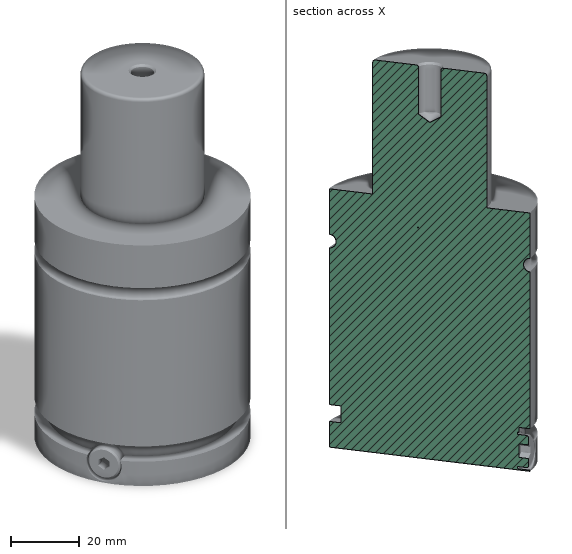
import cadquery as cq
import math

body_diameter = 63.0
body_top = 79.0
total_height = 120.0

rod_diameter = 36.0
rod_edge_fillet = 1.0

base_groove_diameter = 56.0
base_groove_bottom = 8.0
base_groove_top = 13.0

round_groove_radius = 2.0
round_groove_height = 63.0

thread_hole_diameter = 6.8
thread_hole_depth = 15.0
thread_countersink_diameter = 8.0
drill_tip_angle = 118.0

port_height = 6.0
port_diameter = 11.0
port_floor_radius = 27.5
screw_diameter = 10.0
screw_face_radius = 31.0
screw_chamfer = 0.5
hex_sides = 6
hex_across_flats = 3.5
hex_depth = 3.0


def make_body():
    """Revolve the body and rod, including both outer grooves."""
    body_radius = body_diameter / 2
    rod_radius = rod_diameter / 2
    base_groove_radius = base_groove_diameter / 2
    return (
        cq.Workplane("XZ")
        .moveTo(0, 0)
        .lineTo(body_radius, 0)
        .lineTo(body_radius, base_groove_bottom)
        .lineTo(base_groove_radius, base_groove_bottom)
        .lineTo(base_groove_radius, base_groove_top)
        .lineTo(body_radius, base_groove_top)
        .lineTo(body_radius, round_groove_height - round_groove_radius)
        .threePointArc(
            (body_radius - round_groove_radius, round_groove_height),
            (body_radius, round_groove_height + round_groove_radius),
        )
        .lineTo(body_radius, body_top)
        .lineTo(rod_radius, body_top)
        .lineTo(rod_radius, total_height)
        .lineTo(0, total_height)
        .close()
        .revolve(360, (0, 0, 0), (0, 1, 0))
        .faces(">Z")
        .edges()
        .fillet(rod_edge_fillet)
    )


def make_thread_hole():
    """Revolve the drilled hole with its 45 degree countersink and conical tip."""
    hole_radius = thread_hole_diameter / 2
    countersink_radius = thread_countersink_diameter / 2
    countersink_depth = countersink_radius - hole_radius
    tip_length = hole_radius / math.tan(math.radians(drill_tip_angle / 2))
    hole_bottom = total_height - thread_hole_depth
    return (
        cq.Workplane("XZ")
        .moveTo(0, total_height)
        .lineTo(countersink_radius, total_height)
        .lineTo(hole_radius, total_height - countersink_depth)
        .lineTo(hole_radius, hole_bottom)
        .lineTo(0, hole_bottom - tip_length)
        .close()
        .revolve(360, (0, 0, 0), (0, 1, 0))
    )


def port_plane(radius):
    """Plane facing -Y, centred on the port axis at the given distance from the body axis."""
    return cq.Workplane("XZ", origin=(0, -radius, port_height))


def make_port():
    """Round recess from the port floor out through the body wall."""
    port_depth = body_diameter / 2 - port_floor_radius
    return port_plane(port_floor_radius).circle(port_diameter / 2).extrude(port_depth)


def make_screw():
    """Chamfered screw head with a hexagon socket, one corner pointing up."""
    head_height = screw_face_radius - port_floor_radius
    hex_across_corners = hex_across_flats / math.cos(math.pi / hex_sides)
    head = (
        port_plane(port_floor_radius)
        .circle(screw_diameter / 2)
        .extrude(head_height)
        .faces("<Y")
        .chamfer(screw_chamfer)
    )
    socket = (
        port_plane(screw_face_radius)
        .transformed(rotate=(0, 0, 90))
        .polygon(hex_sides, hex_across_corners)
        .extrude(-hex_depth)
    )
    return head.cut(socket)


result = make_body().cut(make_thread_hole()).cut(make_port()).union(make_screw())